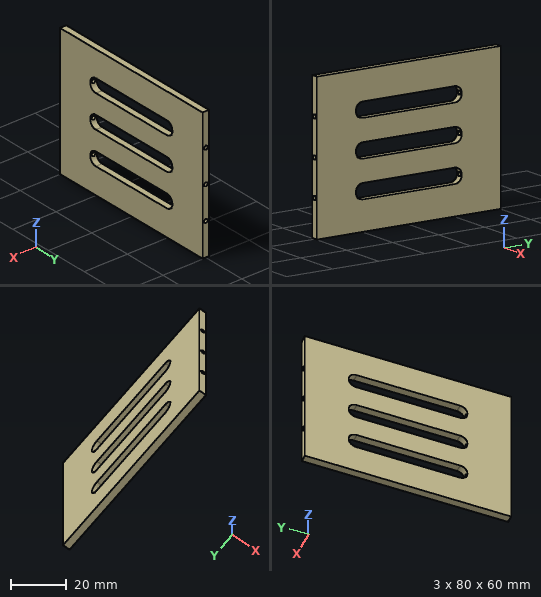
import cadquery as cq

thickness = 3.0
length = 80.0
height = 60.0

slot_count = 3
slot_length = 46.0
slot_width = 6.0
slot_pitch = height / (slot_count + 1)

hole_diameter = 1.6


def make_plate():
    return cq.Workplane("XY").box(thickness, length, height)


def make_slots():
    """Slots that pass through the thickness of the plate."""
    return (
        cq.Workplane("YZ")
        .rarray(0.8, slot_pitch, 1, slot_count)
        .slot2D(slot_length, slot_width)
        .extrude(thickness, both=True)
    )


def make_edge_holes():
    """Holes that run along Y from one end of the plate to the other."""
    return (
        cq.Workplane("XZ")
        .rarray(0.8, slot_pitch, 1, slot_count)
        .circle(hole_diameter / 2)
        .extrude(length, both=True)
    )


result = make_plate().cut(make_slots()).cut(make_edge_holes())